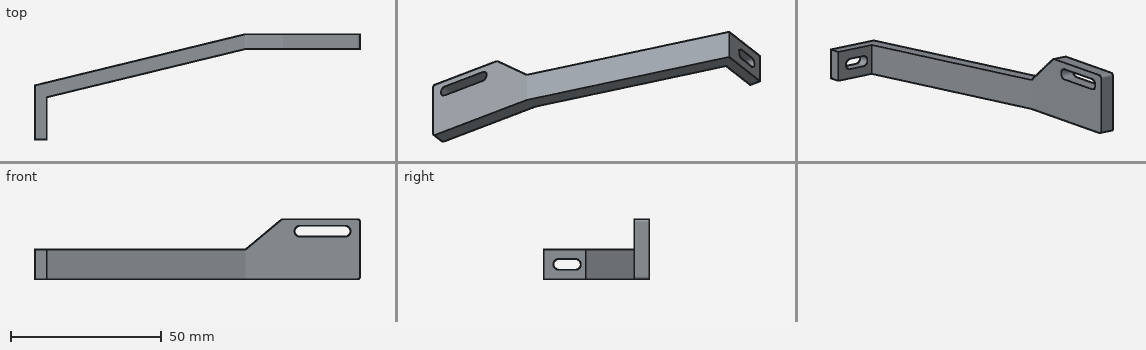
import cadquery as cq

total_length = 108.0
total_depth = 35.03
arm_height = 10.0
plate_height = 20.0

foot_thickness = 4.0
foot_length = 18.0

plate_thickness = 5.0
plate_start = 70.0
ramp_end = 82.0
corner_radius = 1.0

plate_slot_length = 18.5
plate_slot_width = 3.5
plate_slot_x = 95.5
plate_slot_z = 16.0

foot_slot_length = 9.0
foot_slot_width = 3.5
foot_slot_y = 7.75
foot_slot_z = arm_height / 2

plate_front = total_depth - plate_thickness
foot_inner_length = foot_length - foot_thickness


def make_foot_and_arm():
    """Bent strip of constant height, drawn in plan."""
    outline = [
        (0, 0),
        (foot_thickness, 0),
        (foot_thickness, foot_inner_length),
        (plate_start, plate_front),
        (plate_start, total_depth),
        (0, foot_length),
    ]
    return cq.Workplane("XY").polyline(outline).close().extrude(arm_height)


def make_plate():
    """Upright plate with a ramped top edge and rounded outer corners."""
    outline = [
        (plate_start, 0),
        (total_length, 0),
        (total_length, plate_height),
        (ramp_end, plate_height),
        (plate_start, arm_height),
    ]
    blank = (
        cq.Workplane("XZ", origin=(0, total_depth, 0))
        .polyline(outline)
        .close()
        .extrude(plate_thickness)
    )
    outer_corners = blank.edges("|Y").edges(">Z or >X")
    return outer_corners.fillet(corner_radius)


def make_plate_slot():
    """Round-ended cutter along X, through the plate thickness."""
    return (
        cq.Workplane("XZ", origin=(plate_slot_x, total_depth, plate_slot_z))
        .slot2D(plate_slot_length, plate_slot_width)
        .extrude(plate_thickness)
    )


def make_foot_slot():
    """Round-ended cutter along Y, through the foot thickness."""
    return (
        cq.Workplane("YZ", origin=(0, foot_slot_y, foot_slot_z))
        .slot2D(foot_slot_length, foot_slot_width)
        .extrude(foot_thickness)
    )


def round_ramp_foot(body):
    """Blend the arm's top face into the ramp with an inside fillet."""
    ramp_foot = (plate_start, total_depth - plate_thickness / 2, arm_height)
    return body.edges(cq.NearestToPointSelector(ramp_foot)).fillet(corner_radius)


bracket = round_ramp_foot(make_foot_and_arm().union(make_plate()))
result = bracket.cut(make_plate_slot()).cut(make_foot_slot())